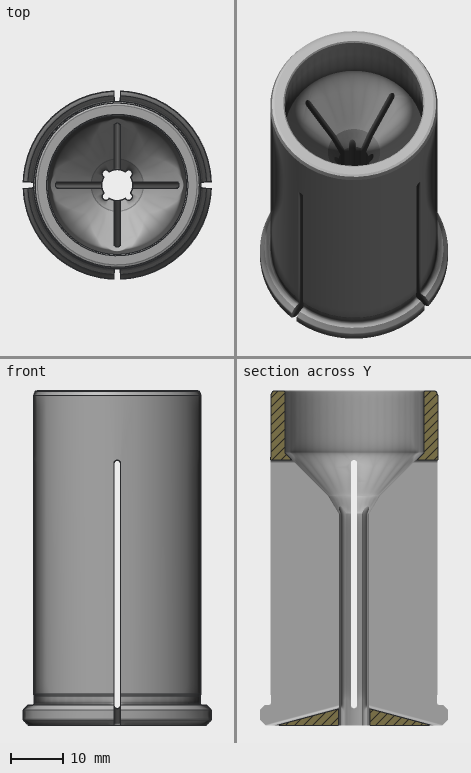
import cadquery as cq
import math

height = 64.0
body_radius = 16.0
top_chamfer_width = 0.3
top_chamfer_height = 0.8
rim_bevel_width = 0.45
rim_bevel_height = 0.1

flange_radius = 18.0
bottom_chamfer = 1.1
flange_edge_fillet = 0.4
flange_edge_top = 3.0
flange_top = 3.9
upper_chamfer = flange_top - flange_edge_top

neck_radius = 15.9
neck_fillet = 0.45
neck_top = 5.6
neck_taper_height = 0.4

bore_radius = 13.25
bore_chamfer = 0.25
bore_floor = 52.1
cone_angle = 45.0
countersink_radius = 5.0
countersink_angle = 59.0
hole_radius = 2.95

relief_count = 4
relief_radius = 0.7
relief_pitch_radius = 3.1
relief_start_angle = 45.0

slit_width = 1.2
slit_top = 50.7
slit_floor_inner_z = 3.25
slit_floor_angle = 15.0
slit_count = 4


def drop(radial_length, angle):
    """Height lost over a radial length at an angle from horizontal."""
    return radial_length * math.tan(math.radians(angle))


def make_sleeve():
    """Revolve the outside, flange and stepped bore in one profile."""
    countersink_top = bore_floor - drop(bore_radius - countersink_radius, cone_angle)
    countersink_bottom = countersink_top - drop(countersink_radius - hole_radius, countersink_angle)
    rim_bevel_radius = body_radius - top_chamfer_width
    rim_bevel_bottom = height - rim_bevel_height
    sleeve = (
        cq.Workplane("XZ")
        .moveTo(hole_radius, 0)
        .lineTo(flange_radius - bottom_chamfer, 0)
        .lineTo(flange_radius, bottom_chamfer)
        .lineTo(flange_radius, flange_edge_top)
        .lineTo(flange_radius - upper_chamfer, flange_top)
        .lineTo(neck_radius + neck_fillet, flange_top)
        .radiusArc((neck_radius, flange_top + neck_fillet), neck_fillet)
        .lineTo(neck_radius, neck_top)
        .lineTo(body_radius, neck_top + neck_taper_height)
        .lineTo(body_radius, rim_bevel_bottom - top_chamfer_height)
        .lineTo(rim_bevel_radius, rim_bevel_bottom)
        .lineTo(rim_bevel_radius - rim_bevel_width, height)
        .lineTo(bore_radius + bore_chamfer, height)
        .lineTo(bore_radius, height - bore_chamfer)
        .lineTo(bore_radius, bore_floor)
        .lineTo(countersink_radius, countersink_top)
        .lineTo(hole_radius, countersink_bottom)
        .close()
        .revolve(360, (0, 0, 0), (0, 1, 0))
    )
    return (
        sleeve
        .edges(cq.selectors.RadiusNthSelector(-1))
        .fillet(flange_edge_fillet)
    )


def make_relief_holes():
    return (
        cq.Workplane("XY")
        .polarArray(relief_pitch_radius, relief_start_angle, 360, relief_count)
        .circle(relief_radius)
        .extrude(height)
    )


def make_slit():
    """Radial slit along +X: round roof, and a round floor falling outward through the base."""
    half_width = slit_width / 2
    outer_x = flange_radius + slit_width
    roof_axis_z = slit_top - half_width
    floor_slope = math.radians(slit_floor_angle)
    floor_axis_z = (
        slit_floor_inner_z + drop(hole_radius, slit_floor_angle) + half_width / math.cos(floor_slope)
    )
    outer_floor_axis_z = floor_axis_z - drop(outer_x, slit_floor_angle)
    web = (
        cq.Workplane("XZ")
        .polyline([
            (0, floor_axis_z),
            (outer_x, outer_floor_axis_z),
            (outer_x, roof_axis_z),
            (0, roof_axis_z),
        ])
        .close()
        .extrude(half_width, both=True)
    )
    roof = cq.Workplane("YZ").center(0, roof_axis_z).circle(half_width).extrude(outer_x)
    floor_plane = cq.Plane(
        origin=(0, 0, floor_axis_z),
        xDir=(0, 1, 0),
        normal=(math.cos(floor_slope), 0, -math.sin(floor_slope)),
    )
    floor = cq.Workplane(floor_plane).circle(half_width).extrude(outer_x / math.cos(floor_slope))
    return web.union(roof).union(floor)


result = make_sleeve().cut(make_relief_holes())
slit = make_slit()
for index in range(slit_count):
    result = result.cut(slit.rotate((0, 0, 0), (0, 0, 1), index * 360 / slit_count))